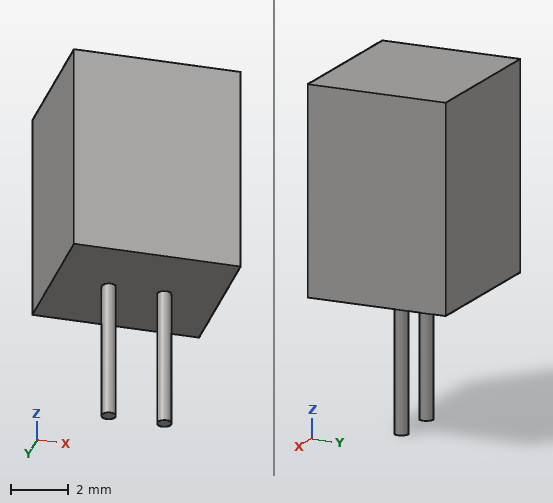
import cadquery as cq

housing_length = 6.0
housing_width = 5.3
housing_height = 7.7

pin_diameter = 0.5
pin_pitch = 2.0
pin_length = 5.1
pin_count = 2


def make_housing():
    """Plain block centred on the Z axis."""
    return cq.Workplane("XY").box(
        housing_length, housing_width, housing_height, centered=(True, True, False)
    )


def make_pin(x_position):
    """Straight round pin that touches the underside of the housing."""
    return cq.Workplane("XY").center(x_position, 0).circle(pin_diameter / 2).extrude(-pin_length)


housing = make_housing()

first_pin_x = -pin_pitch * (pin_count - 1) / 2
pins = []
for index in range(pin_count):
    pins.append(make_pin(first_pin_x + index * pin_pitch))

result = cq.Compound.makeCompound([housing.val(), *[pin.val() for pin in pins]])